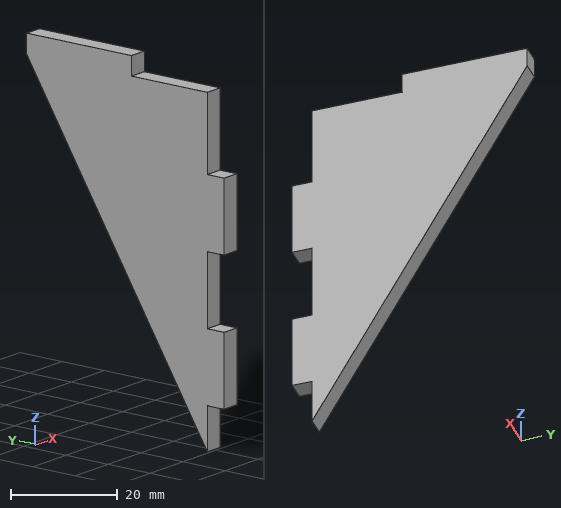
import cadquery as cq

thickness = 4.0
tab_depth = 4.0
body_width = 43.0
body_height = 70.0
top_tab_length = 25.0
side_tab_length = 15.0
side_tab_pitch = 30.0
side_tab_offset = 16.0
side_tab_count = 2


def plate(points):
    """Extrude a closed (Y, Z) outline through the plate thickness."""
    return cq.Workplane("YZ").polyline(points).close().extrude(thickness)


def tab(y_start, z_start, y_length, z_length):
    """Rectangular tab whose lowest corner is at (y_start, z_start)."""
    return (
        cq.Workplane("YZ")
        .moveTo(y_start, z_start)
        .rect(y_length, z_length, centered=False)
        .extrude(thickness)
    )


result = plate([(0, 0), (0, body_height), (body_width, body_height)])

result = result.union(tab(body_width - top_tab_length, body_height, top_tab_length, tab_depth))

for index in range(side_tab_count):
    tab_top = body_height - side_tab_offset - index * side_tab_pitch
    result = result.union(tab(-tab_depth, tab_top - side_tab_length, tab_depth, side_tab_length))

result = result.clean()